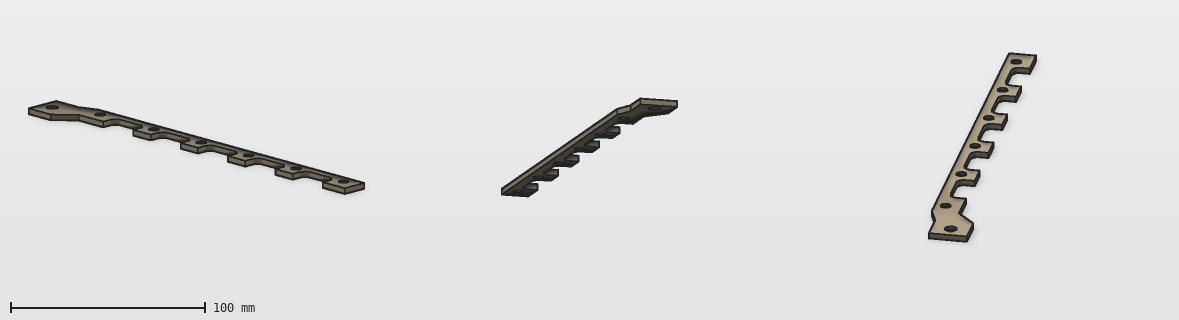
import cadquery as cq

length = 221.3
total_depth = 24.0
thickness = 3.0

pad_length = 16.2
pad_setback = 4.0
bar_start = 26.8
bar_depth = 14.2

pad_hole_diameter = 6.0
pad_hole_x = 7.3
pad_hole_y = -(pad_setback + total_depth) / 2
bar_hole_diameter = 5.0
bar_hole_y = -5.8
end_hole_x = 34.0
first_tab_hole_x = 73.3
last_tab_hole_x = 211.8

notch_count = 5
tab_pitch = (last_tab_hole_x - first_tab_hole_x) / (notch_count - 1)
notch_width = 22.0
notch_start = 44.7
spine_depth = 5.3
notch_corner_radius = 4.0


def make_plate():
    """Flat bar with a wider, offset pad joined by a tapered neck."""
    outline = [
        (0, -pad_setback),
        (pad_length, -pad_setback),
        (bar_start, 0),
        (length, 0),
        (length, -bar_depth),
        (bar_start, -bar_depth),
        (pad_length, -total_depth),
        (0, -total_depth),
    ]
    return cq.Workplane("XY").polyline(outline).close().extrude(thickness)


def make_notch(start_x):
    """Cutter open at the front edge, with its two inner corners rounded."""
    notch_depth = bar_depth - spine_depth
    return (
        cq.Workplane("XY")
        .box(notch_width, notch_depth, thickness, centered=False)
        .edges("|Z and >Y")
        .fillet(notch_corner_radius)
        .translate((start_x, -bar_depth, 0))
    )


def make_holes(centers, diameter):
    """Through-hole cutters at the given centers."""
    return cq.Workplane("XY").pushPoints(centers).circle(diameter / 2).extrude(thickness)


result = make_plate()

bar_hole_centers = [(end_hole_x, bar_hole_y)]
for index in range(notch_count):
    offset = index * tab_pitch
    result = result.cut(make_notch(notch_start + offset))
    bar_hole_centers.append((first_tab_hole_x + offset, bar_hole_y))

result = result.cut(make_holes(bar_hole_centers, bar_hole_diameter))
result = result.cut(make_holes([(pad_hole_x, pad_hole_y)], pad_hole_diameter))